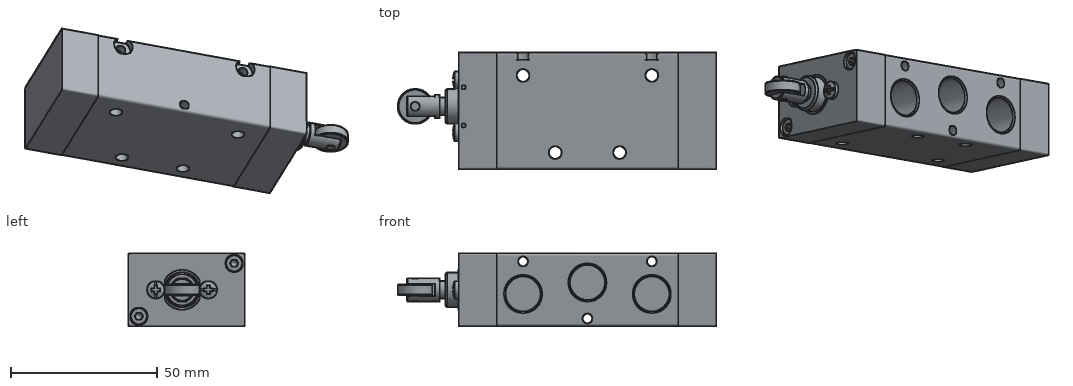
import math

import cadquery as cq

block_width = 40.0
block_height = 25.0
body_length = 62.0
cap_length = 13.1
body_edge_radius = 1.0
cap_edge_radius = 0.7
half_body = body_length / 2
cap_face_x = -(half_body + cap_length)

station_pitch = 22.0
port_diameter = 12.0
port_chamfer = 0.5
port_depth = 15.2
outer_port_z = -1.4
middle_port_z = 2.5
side_hole_diameter = 3.3
side_hole_top_z = 9.7
side_hole_bottom_z = -9.8
mount_hole_diameter = 4.2
rear_mount_y = 12.1
front_mount_y = -14.3
counterbore_diameter = 6.6
counterbore_depth = 2.6

actuator_y = 1.5

roller_diameter = 12.0
roller_thickness = 3.7
roller_chamfer = 0.3
roller_projection = 20.8
roller_x = cap_face_x - roller_projection + roller_diameter / 2
axle_diameter = 3.0
fork_diameter = 8.1
fork_width = 7.0
fork_overhang = 2.8
fork_length = 11.2
fork_chamfer = 0.3
fork_collar_length = 2.0
fork_slot_width = 4.1
fork_slot_clearance = 0.8
neck_diameter = 6.1
fork_tip_x = roller_x - fork_overhang
fork_end_x = fork_tip_x + fork_length

bush_diameter = 12.0
bush_projection = 4.6
bush_chamfer = 0.7
bush_flange_diameter = 13.6
bush_flange_thickness = 2.2
bush_flange_projection = 0.1

pan_diameter = 6.0
pan_rim_height = 1.3
pan_dome_height = 0.7
pan_offset = (bush_diameter + pan_diameter) / 2
driver_slot_width = 0.8
driver_slot_depth = 0.7
driver_cross_length = 3.0
driver_cross_width = 1.2
driver_cross_depth = 1.0
driver_cross_taper = 8.0

socket_inset_y = 3.7
socket_inset_z = 3.5
socket_head_diameter = 5.4
socket_head_height = 3.0
socket_bore_diameter = 6.0
socket_head_sink = 0.9
hex_across_corners = 2.8
hex_across_flats = hex_across_corners * math.cos(math.pi / 6)
hex_depth = 1.1
hex_floor_depth = 0.8
socket_y = block_width / 2 - socket_inset_y
socket_z = block_height / 2 - socket_inset_z

cap_hole_diameter = 1.4
cap_hole_depth = 0.1
cap_hole_inset = 1.7
cap_hole_offset = 6.5


def block(x_start, length, edge_radius):
    """Length of the rectangular block with its long edges rounded."""
    blank = cq.Workplane("YZ", origin=(x_start, 0, 0)).rect(block_width, block_height).extrude(length)
    return blank.edges("|X").fillet(edge_radius)


def rod_x(x_start, length, diameter, y=actuator_y, z=0.0):
    """Round rod along +X."""
    return cq.Workplane("YZ", origin=(x_start, y, z)).circle(diameter / 2).extrude(length)


def rod_y(y_start, length, diameter, x, z):
    """Round rod along +Y."""
    return cq.Workplane("XZ", origin=(x, y_start, z)).circle(diameter / 2).extrude(-length)


def rod_z(z_start, length, diameter, x, y):
    """Round rod along +Z."""
    return cq.Workplane("XY", origin=(x, y, z_start)).circle(diameter / 2).extrude(length)


def port(x, z):
    """Cutter for a blind port in the front face, with a chamfered mouth."""
    front_y = -block_width / 2
    bore = rod_y(front_y, port_depth, port_diameter, x, z)
    mouth = cq.Solid.makeCone(
        port_diameter / 2 + port_chamfer,
        port_diameter / 2,
        port_chamfer,
        pnt=cq.Vector(x, front_y, z),
        dir=cq.Vector(0, 1, 0),
    )
    return bore.union(cq.Workplane(mouth))


def make_valve_body():
    body = block(-half_body, body_length, body_edge_radius)

    body = body.cut(port(0, middle_port_z))
    for x in (-station_pitch, station_pitch):
        body = body.cut(port(x, outer_port_z))

    side_holes = [
        (-station_pitch, side_hole_top_z),
        (station_pitch, side_hole_top_z),
        (0, side_hole_bottom_z),
    ]
    for x, z in side_holes:
        body = body.cut(rod_y(-block_width / 2, block_width, side_hole_diameter, x, z))
    for x in (-station_pitch, station_pitch):
        body = body.cut(
            rod_y(
                block_width / 2 - counterbore_depth,
                counterbore_depth,
                counterbore_diameter,
                x,
                side_hole_top_z,
            )
        )

    for side in (-1, 1):
        for x, y in [(side * station_pitch, rear_mount_y), (side * station_pitch / 2, front_mount_y)]:
            body = body.cut(rod_z(-block_height / 2, block_height, mount_hole_diameter, x, y))
    return body


def make_plain_cap():
    return block(half_body, cap_length, cap_edge_radius)


def bush_flange(x_start, thickness):
    """Round disc with two flats level with the sides of the bush barrel."""
    disc = rod_x(x_start, thickness, bush_flange_diameter)
    flats = cq.Workplane("XY").box(
        thickness, bush_diameter, bush_flange_diameter, centered=(False, True, True)
    )
    return disc.intersect(flats.translate((x_start, actuator_y, 0)))


def make_actuator_cap():
    cap = block(cap_face_x, cap_length, cap_edge_radius)

    cap = cap.cut(bush_flange(cap_face_x, bush_flange_thickness))

    bore_depth = socket_head_sink + socket_head_height
    for side in (-1, 1):
        cap = cap.cut(rod_x(cap_face_x, bore_depth, socket_bore_diameter, -side * socket_y, side * socket_z))

    hole_floor_z = block_height / 2 - cap_hole_depth
    for side in (-1, 1):
        hole_y = actuator_y + side * cap_hole_offset
        cap = cap.cut(
            rod_z(hole_floor_z, cap_hole_depth, cap_hole_diameter, cap_face_x + cap_hole_inset, hole_y)
        )
    return cap


def make_bush():
    barrel = rod_x(cap_face_x - bush_projection, bush_projection, bush_diameter)
    barrel = barrel.faces("<X").edges().chamfer(bush_chamfer)
    flange_x = cap_face_x - bush_flange_projection
    flange = bush_flange(flange_x, bush_flange_projection + bush_flange_thickness)
    bore = rod_x(cap_face_x - bush_projection, bush_projection + bush_flange_thickness, neck_diameter)
    return barrel.union(flange).cut(bore)


def make_plunger():
    """Forked plunger with the roller axle across its slot."""
    fork = rod_x(fork_tip_x, fork_length, fork_diameter).faces("<X").edges().chamfer(fork_chamfer)

    flat_length = fork_length - fork_collar_length
    fork_blade = cq.Workplane("XY").box(flat_length, fork_width, fork_diameter, centered=(False, True, True))
    envelope = fork_blade.translate((fork_tip_x, actuator_y, 0))
    envelope = envelope.union(rod_x(fork_end_x - fork_collar_length, fork_collar_length, fork_diameter))
    fork = fork.intersect(envelope)

    slot_length = fork_overhang + roller_diameter / 2 + fork_slot_clearance
    slot = cq.Workplane("XY").box(slot_length, fork_diameter, fork_slot_width, centered=(False, True, True))
    fork = fork.cut(slot.translate((fork_tip_x, actuator_y, 0)))

    axle = rod_z(-fork_diameter / 2, fork_diameter, axle_diameter, roller_x, actuator_y)
    neck = rod_x(fork_end_x, cap_face_x + bush_flange_thickness - fork_end_x, neck_diameter)
    return fork.union(axle).union(neck)


def make_roller():
    roller = rod_z(-roller_thickness / 2, roller_thickness, roller_diameter, roller_x, actuator_y)
    roller = roller.edges().chamfer(roller_chamfer)
    return roller.cut(rod_z(-roller_thickness / 2, roller_thickness, axle_diameter, roller_x, actuator_y))


def make_pan_screw(side):
    """Domed screw head on the cap face, with a driver slot and a short deeper cross."""
    radius = pan_diameter / 2
    height = pan_rim_height + pan_dome_height
    dome_radius = (radius**2 + pan_dome_height**2) / (2 * pan_dome_height)
    dome_mid_radius = radius / 2
    dome_mid_drop = dome_radius - math.sqrt(dome_radius**2 - dome_mid_radius**2)
    head = (
        cq.Workplane("XY")
        .lineTo(-height, 0)
        .threePointArc((-height + dome_mid_drop, dome_mid_radius), (-pan_rim_height, radius))
        .lineTo(0, radius)
        .close()
        .revolve(360, (0, 0, 0), (1, 0, 0))
    )
    slot = cq.Workplane("XY").box(
        driver_slot_depth, pan_diameter, driver_slot_width, centered=(False, True, True)
    )
    arm = (
        cq.Workplane("YZ")
        .rect(driver_cross_length, driver_cross_width)
        .extrude(driver_cross_depth, taper=driver_cross_taper)
    )
    cross = arm.union(arm.rotate((0, 0, 0), (1, 0, 0), 90))
    head = head.cut(slot.union(cross).translate((-height, 0, 0)))
    if side > 0:
        head = head.rotate((0, 0, 0), (1, 0, 0), 90)
    return head.translate((cap_face_x, actuator_y + side * pan_offset, 0))


def make_socket_screw(side):
    """Socket screw head sunk below the cap face."""
    head_x = cap_face_x + socket_head_sink
    y = -side * socket_y
    z = side * socket_z
    head = rod_x(head_x, socket_head_height, socket_head_diameter, y, z)
    socket = cq.Workplane("YZ", origin=(head_x, y, z)).polygon(6, hex_across_corners).extrude(hex_depth)
    floor = cq.Solid.makeCone(
        hex_across_flats / 2,
        0,
        hex_floor_depth,
        pnt=cq.Vector(head_x + hex_depth, y, z),
        dir=cq.Vector(1, 0, 0),
    )
    return head.cut(socket).cut(cq.Workplane(floor))


valve_body = make_valve_body()
plain_cap = make_plain_cap()
actuator_cap = make_actuator_cap()
bush = make_bush()
plunger = make_plunger()
roller = make_roller()
pan_screws = [make_pan_screw(side) for side in (-1, 1)]
socket_screws = [make_socket_screw(side) for side in (-1, 1)]

result = cq.Compound.makeCompound(
    [
        valve_body.val(),
        plain_cap.val(),
        actuator_cap.val(),
        bush.val(),
        plunger.val(),
        roller.val(),
        *[screw.val() for screw in pan_screws],
        *[screw.val() for screw in socket_screws],
    ]
)